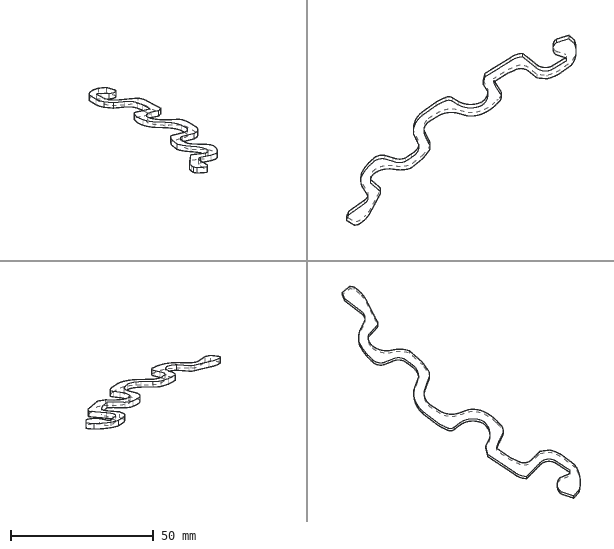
import cadquery as cq

length = 112.4
width = 21.2
thickness = 2.0

left = -length / 2
right = length / 2
crest = width / 2
bottom = -width / 2

crest_start = -1.7
crest_end = 5.0
tail_top = -5.1
head_base = -7.9

head_start = (left, 1.6)

head = [
    [(-51.8, 3.1)],
    [(-48.8, 1.7), (-48.0, -0.7)],
    [(-49.2, -3.3)],
    [(-49.5, -4.4), (-48.9, -5.2)],
]

first_rise_top = [
    [(-42.9, -4.7)],
    [(-40.0, -3.3), (-39.0, -0.2)],
    [(-38.8, 6.4)],
    [(-37.3, 7.3), (-34.2, 7.9)],
    [(-22.9, 8.7)],
    [(-20.2, 6.6)],
    [(-19.5, 3.7)],
]
first_valley_top = [
    [(-16.6, 0.7), (-13.6, -0.1)],
    [(-9.5, 2.0), (-7.6, 5.5)],
    [(-7.2, 8.1)],
    [(-6.7, 9.2), (-5.6, 9.9)],
    [(-3.7, 10.3), (crest_start, crest)],
]
crest_top = [
    [(crest_end, crest)],
    [(9.9, 9.1), (12.8, 6.5)],
    [(15.0, 1.1)],
]
second_valley_top = [
    [(16.6, -0.1), (20.2, -0.8)],
    [(23.2, -0.7)],
    [(25.2, 0.5), (26.3, 2.2)],
    [(27.8, 5.1)],
]
last_rise_top = [
    [(29.2, 6.3), (31.7, 6.6)],
    [(35.3, 6.1), (38.8, 4.8)],
    [(40.8, 3.1), (42.0, 1.0)],
    [(43.3, -3.4)],
    [(44.4, -4.5), (46.5, tail_top)],
]

tail = [
    [(54.0, tail_top)],
    [(right, -6.3)],
    [(55.6, -9.9)],
    [(54.4, bottom)],
    [(52.4, bottom)],
    [(49.5, -10.1), (46.8, -9.0)],
]

last_rise_bottom = [
    [(40.0, -5.8)],
    [(39.0, -5.3), (38.7, -4.3)],
    [(38.7, 0.3)],
    [(36.9, 2.0), (34.1, 2.6)],
    [(30.9, 1.6), (28.3, -0.9)],
]
second_valley_bottom = [
    [(26.6, -2.7), (23.7, -4.3)],
    [(17.4, -3.8)],
    [(13.4, -2.6)],
    [(12.4, -1.7), (11.7, -0.2)],
]
crest_bottom = [
    [(10.1, 3.7)],
    [(8.0, 6.1), (5.0, 7.0)],
    [(0.9, 6.6)],
    [(-2.5, 5.5), (-5.0, 2.9)],
    [(-6.6, -0.2)],
]
first_valley_bottom = [
    [(-8.5, -1.9), (-11.0, -3.0)],
    [(-14.7, -3.5), (-18.4, -3.0)],
    [(-20.5, -2.5), (-21.7, -1.1)],
    [(-22.8, 2.9)],
]
first_rise_bottom = [
    [(-23.6, 4.8)],
    [(-29.8, 4.5)],
    [(-32.6, 3.8)],
    [(-35.1, 2.6), (-36.0, 0.2)],
    [(-36.1, -3.9)],
    [(-38.5, -6.6)],
    [(-40.6, -7.4), (-42.7, head_base)],
]
head_underside = [
    [(-48.9, head_base)],
    [(-53.1, -5.6), (left, -1.3)],
]

sections = [
    head,
    first_rise_top,
    first_valley_top,
    crest_top,
    second_valley_top,
    last_rise_top,
    tail,
    last_rise_bottom,
    second_valley_bottom,
    crest_bottom,
    first_valley_bottom,
    first_rise_bottom,
    head_underside,
]


def add_section(outline, section):
    """Continue the outline along one section's lines and arcs."""
    for step in section:
        if len(step) == 1:
            outline = outline.lineTo(*step[0])
        else:
            outline = outline.threePointArc(*step)
    return outline


outline = cq.Workplane("XY").moveTo(*head_start)
for section in sections:
    outline = add_section(outline, section)

result = outline.close().extrude(thickness)